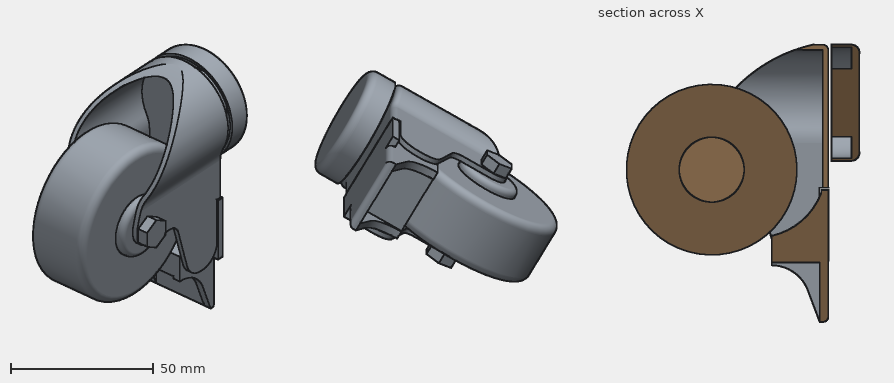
import cadquery as cq
import math


wheel_radius = 30.0
wheel_width = 24.0
wheel_round = 3.0
hub_radius = 11.5
hub_width = 30.0
hub_round = 2.0

fork_radius = 20.5
fork_wall = 1.95
leg_outer_x = hub_width / 2 + fork_wall
neck_radius = 9.75
swivel_z = 23.5
fork_back_y = 41.0
fork_back_wall = 2.0
fork_back_round = 2.0
leg_bottom_z = -32.0

mouth_arc_radius = 54.4
mouth_arc_y = 47.5
mouth_arc_z = -9.2
nose_y = -5.7
nose_radius = 6.0
nose_bottom_z = -nose_radius
leg_back_y = 37.8
back_wall_bottom_z = -6.4
leg_slope = math.radians(16)
leg_front_y = 15.8
leg_inner_round = 4.9
leg_tip_round = 7.8

cap_gap = 1.0
cap_thickness = 9.9
cap_round = 3.0
cap_rim = 1.0
cap_boss_radius = 12.0
cap_groove_depth = 7.0

hex_across_flats = 10.0
bolt_span = 42.0
hex_height = bolt_span / 2 - leg_outer_x

pedal_width = 28.0
pedal_front_y = 21.1
overall_height = 97.5
pedal_bottom_z = swivel_z + fork_radius - overall_height
pedal_back_round = 2.0
shoe_radius = 24.0
shoe_top_z = -8.2
shoe_bottom_z = -23.2
pedal_lip_z = -33.6
toe_radius = 13.6
toe_slope = math.radians(17)
toe_tip_y = 37.9
pocket_width = 22.0
pocket_top_z = -32.7
flange_front_y = 38.4
flange_top_z = -7.1

overlap = 1.0


def x_cylinder(radius, width):
    """Cylinder centred on the wheel axis."""
    return cq.Workplane("YZ", origin=(-width / 2, 0, 0)).circle(radius).extrude(width)


def block(width, front_y, back_y, bottom_z, top_z):
    """Box centred on X = 0 between the given Y and Z limits."""
    base = cq.Workplane("XY", origin=(0, front_y, bottom_z))
    return base.box(width, back_y - front_y, top_z - bottom_z, centered=(True, False, False))


def make_hub():
    """Sleeve through the wheel, reaching from one fork leg to the other."""
    return x_cylinder(hub_radius, hub_width).edges().fillet(hub_round)


def make_wheel():
    """Rounded wheel bored for the hub."""
    tyre = x_cylinder(wheel_radius, wheel_width).edges().fillet(wheel_round)
    return tyre.cut(x_cylinder(hub_radius, wheel_width))


def make_cap():
    """Disc behind the fork, with a ring-shaped groove in its front between the rim and a central boss."""
    front_plane = cq.Workplane("XZ", origin=(0, fork_back_y + cap_gap, swivel_z))
    disc = front_plane.circle(fork_radius).extrude(-cap_thickness)
    disc = disc.faces(">Y").edges().fillet(cap_round)
    groove = front_plane.circle(fork_radius - cap_rim).circle(cap_boss_radius).extrude(-cap_groove_depth)
    return disc.cut(groove)


def keyhole(inset, back_y):
    """Round barrel blending into two parallel legs, from back_y forward past the nose."""
    radius = fork_radius - inset
    leg_x = leg_outer_x - inset
    neck = neck_radius + inset
    neck_z = swivel_z - math.sqrt((radius + neck) ** 2 - (leg_x + neck) ** 2)
    blend_angle = math.acos((leg_x + neck) / (radius + neck))
    join_x = radius * math.cos(blend_angle)
    join_z = swivel_z - radius * math.sin(blend_angle)
    mid_x = leg_x + neck - neck * math.cos(blend_angle / 2)
    mid_z = neck_z + neck * math.sin(blend_angle / 2)
    bottom_z = leg_bottom_z - overlap
    return (
        cq.Workplane("XZ", origin=(0, back_y, 0))
        .moveTo(-leg_x, bottom_z)
        .lineTo(-leg_x, neck_z)
        .threePointArc((-mid_x, mid_z), (-join_x, join_z))
        .threePointArc((0, swivel_z + radius), (join_x, join_z))
        .threePointArc((mid_x, mid_z), (leg_x, neck_z))
        .lineTo(leg_x, bottom_z)
        .close()
        .extrude(back_y - nose_y + overlap)
    )


def fork_side_outline():
    """Side outline of the fork with rounded corners, extruded across its full width."""
    top_z = swivel_z + fork_radius + overlap
    mouth_top_y = mouth_arc_y - math.sqrt(mouth_arc_radius**2 - (top_z - mouth_arc_z) ** 2)
    mouth_end_z = mouth_arc_z + math.sqrt(mouth_arc_radius**2 - (nose_y - mouth_arc_y) ** 2)
    leg_tip_y = leg_front_y + (nose_bottom_z - leg_bottom_z) * math.tan(leg_slope)
    blank = (
        cq.Workplane("YZ")
        .moveTo(fork_back_y, top_z)
        .lineTo(mouth_top_y, top_z)
        .radiusArc((nose_y, mouth_end_z), -mouth_arc_radius)
        .lineTo(nose_y, nose_bottom_z)
        .lineTo(leg_front_y, nose_bottom_z)
        .lineTo(leg_tip_y, leg_bottom_z)
        .lineTo(leg_back_y, leg_bottom_z)
        .lineTo(leg_back_y, back_wall_bottom_z)
        .lineTo(fork_back_y, back_wall_bottom_z)
        .close()
        .extrude(fork_radius + overlap, both=True)
    )

    def corner(y, z):
        return cq.selectors.NearestToPointSelector((0, y, z))

    blank = blank.edges("|X").edges(corner(nose_y, mouth_end_z)).fillet(nose_radius)
    blank = blank.edges("|X").edges(corner(nose_y, nose_bottom_z)).fillet(nose_radius)
    blank = blank.edges("|X").edges(corner(leg_front_y, nose_bottom_z)).fillet(leg_inner_round)
    blank = blank.edges("|X").edges(corner(leg_tip_y, leg_bottom_z)).fillet(leg_tip_round)
    return blank.edges("|X").edges(corner(leg_back_y, leg_bottom_z)).fillet(leg_tip_round)


def make_fork():
    """Keyhole shell with rounded back edges, trimmed to the side outline."""
    barrel = keyhole(0, fork_back_y)
    barrel = barrel.faces(">Y").edges("not <Z").fillet(fork_back_round)
    cavity = keyhole(fork_wall, fork_back_y - fork_back_wall)
    return barrel.cut(cavity).intersect(fork_side_outline())


def make_bolt_head(side):
    """Hexagonal head standing on the outer face of the leg on the given side, one corner up."""
    corner_diameter = hex_across_flats / math.cos(math.pi / 6)
    head = cq.Workplane("YZ").polygon(6, corner_diameter).extrude(hex_height * side)
    return head.rotate((0, 0, 0), (1, 0, 0), 30).translate((leg_outer_x * side, 0, 0))


def make_pedal():
    """Brake pedal with a hollow shoe arc facing the wheel, a pocketed toe and a flange at the back."""
    bend_y = pedal_front_y + toe_radius * math.cos(toe_slope)
    bend_z = pedal_lip_z - toe_radius * (1 - math.sin(toe_slope))
    side_outline = (
        cq.Workplane("YZ", origin=(-pedal_width / 2, 0, 0))
        .moveTo(fork_back_y, shoe_top_z)
        .lineTo(flange_front_y, shoe_top_z)
        .radiusArc((pedal_front_y, shoe_bottom_z), shoe_radius)
        .lineTo(pedal_front_y, pedal_lip_z)
        .radiusArc((bend_y, bend_z), toe_radius)
        .lineTo(toe_tip_y, pedal_bottom_z)
        .lineTo(fork_back_y, pedal_bottom_z)
        .close()
        .extrude(pedal_width)
    )
    body = side_outline.faces(">Y").edges("not >Z").fillet(pedal_back_round)

    flange = block(2 * leg_outer_x, flange_front_y, fork_back_y, leg_bottom_z, flange_top_z)
    pocket = block(pocket_width, pedal_front_y, toe_tip_y, pedal_bottom_z, pocket_top_z)
    return body.union(flange).cut(pocket)


hub = make_hub()
wheel = make_wheel()
cap = make_cap()
fork = make_fork()
pedal = make_pedal()
bolt_heads = [make_bolt_head(side) for side in (-1, 1)]

result = cq.Compound.makeCompound(
    [
        hub.val(),
        wheel.val(),
        cap.val(),
        fork.val(),
        pedal.val(),
        *[head.val() for head in bolt_heads],
    ]
)